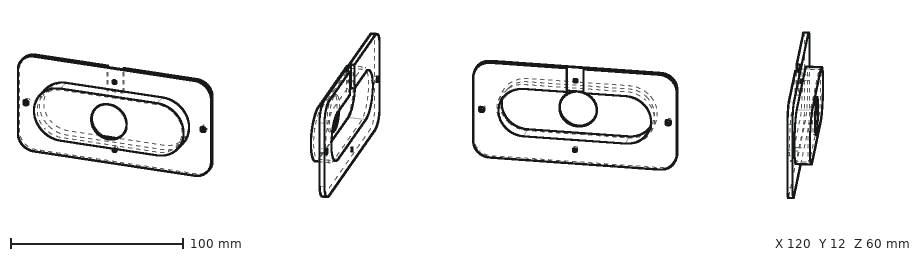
import cadquery as cq

plate_length = 120.0
plate_height = 60.0
plate_thickness = 3.0
plate_corner_radius = 10.0

total_depth = 12.0
housing_length = 93.0
housing_height = 33.0
wall_thickness = 1.5
face_thickness = 1.3

opening_diameter = 22.0

side_hole_diameter = 3.2
side_hole_offset = 55.0
end_hole_diameter = 2.2
end_hole_offset = 21.5

channel_width = 10.0
channel_depth = 2.0

cavity_length = housing_length - 2 * wall_thickness
cavity_height = housing_height - 2 * wall_thickness
cavity_depth = total_depth - face_thickness


def back_plane():
    """Sketch plane on the back face: local x is +X, local y is +Z, extrusion goes toward -Y."""
    return cq.Workplane("XZ")


def oblong(length, height, depth):
    """Oblong block with fully round ends, starting at the back face."""
    return back_plane().slot2D(length, height).extrude(depth)


def through_holes(points, diameter):
    """Round cutters at the given (x, z) points, passing through the whole part."""
    return back_plane().pushPoints(points).circle(diameter / 2).extrude(total_depth)


def flange_plate():
    plate = back_plane().rect(plate_length, plate_height).extrude(plate_thickness)
    return plate.edges("|Y").fillet(plate_corner_radius)


def cable_channel():
    """Cutter running from mid-height, inside the cavity, up through the top edge of the plate."""
    channel_length = plate_height / 2
    return (
        back_plane()
        .center(0, channel_length / 2)
        .rect(channel_width, channel_length)
        .extrude(channel_depth)
    )


side_hole_points = [(side * side_hole_offset, 0) for side in (-1, 1)]
end_hole_points = [(0, side * end_hole_offset) for side in (-1, 1)]

body = flange_plate().union(oblong(housing_length, housing_height, total_depth))
body = body.cut(oblong(cavity_length, cavity_height, cavity_depth))
body = body.cut(cable_channel())
body = body.cut(through_holes([(0, 0)], opening_diameter))
body = body.cut(through_holes(side_hole_points, side_hole_diameter))
result = body.cut(through_holes(end_hole_points, end_hole_diameter))